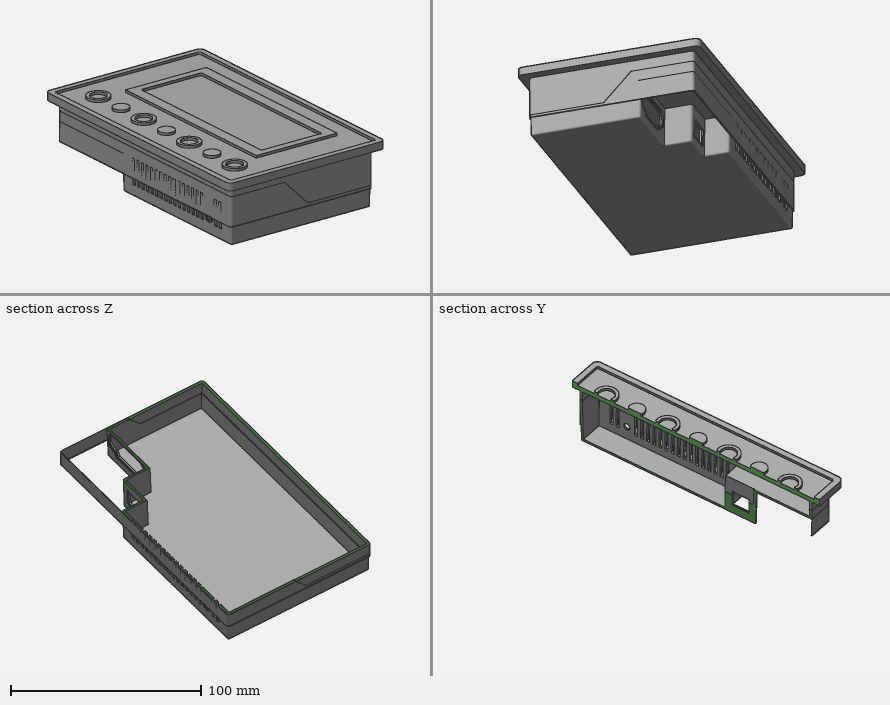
import cadquery as cq
import math

bezel_length = 162.0
bezel_width = 102.0
total_height = 38.0

bezel_thickness = 4.5
bezel_corner_radius = 3.2
bezel_bottom = total_height - bezel_thickness

border = 3.5
panel_depth = 1.5
panel_corner_radius = 1.1
panel_level = total_height - panel_depth

skirt_length = 152.0
skirt_width = 92.7
skirt_bottom = 10.5
skirt_wall = 2.0
skirt_corner_radius = 1.8

frame_length = 115.0
frame_width = 52.8
frame_center_y = 10.5
window_length = 106.1
window_width = 39.5
window_corner_radius = 1.3

button_count = 7
button_row_length = 120.0
button_row_y = -31.9
button_diameter = 9.4
ring_diameter = 13.3

skirt_tip_x = 0.2
skirt_tip_y = 0.3
cover_draft = 1.4
cover_wall = 1.6
cover_corner_radius = 1.3
cover_inner_radius = 0.5
cover_bottom_radius = 1.0

rim_high = 27.7
rim_low = 12.2
rim_slope_start_y = 4.5

draft_slope = math.tan(math.radians(cover_draft))
cover_length = skirt_length - 2 * skirt_tip_x
cover_width = skirt_width - 2 * skirt_tip_y

notch_ceiling = 21.7
notch_corner_radius = 1.5
serial_wall_y = -16.0
usb_wall_y = -31.5
step_x = -39.2
notch_end_x = -20.2

recess_depth = 0.5
through_depth = 3 * cover_wall
serial_x = -57.7
serial_z = 13.0
serial_length = 33.4
serial_height = 11.3
serial_inset = 1.0
tongue_bottom_z = 4.9
tongue_bottom_width = 17.5
tongue_top_width = 20.7
tongue_top_z = 7.5

usb_left = -34.7
usb_right = -23.8
usb_bottom = 5.5
usb_top = 14.5
usb_recess_left = -35.3
usb_recess_right = -22.7
usb_recess_bottom = 5.0

vent_count = 20
vent_pitch = 4.0
vent_width = 2.0
vent_bottom = 6.6
first_vent_x = -10.4
vents_left_out = (16, 17)
screw_z = 9.7
screw_hole_diameter = 3.9
screw_recess_diameter = 5.8


def box_between(x_range, y_range, z_range):
    """Axis-aligned box between the given limits."""
    return cq.Workplane("XY").box(
        x_range[1] - x_range[0],
        y_range[1] - y_range[0],
        z_range[1] - z_range[0],
        centered=False,
    ).translate((x_range[0], y_range[0], z_range[0]))


def rounded_block(length, width, bottom, top, radius, center_y=0.0):
    """Upright block with rounded vertical edges."""
    block = cq.Workplane("XY", origin=(0, center_y, bottom)).rect(length, width).extrude(top - bottom)
    return block.edges("|Z").fillet(radius)


def drafted_blank(inset, corner_radius):
    """Full-height block of the cover, moved inward by inset and narrowing downward with the draft."""
    rim_outline = (
        cq.Sketch()
        .rect(cover_length - 2 * inset, cover_width - 2 * inset)
        .vertices()
        .fillet(corner_radius)
    )
    return (
        cq.Workplane("XY", origin=(0, 0, rim_high))
        .placeSketch(rim_outline)
        .extrude(-rim_high, taper=cover_draft)
    )


def above_rim():
    """Space above the stepped rim: low at the rear, a 45 degree slope, high at the front."""
    slope_end_y = rim_slope_start_y - (rim_high - rim_low)
    return (
        cq.Workplane("YZ")
        .moveTo(bezel_width, rim_low)
        .lineTo(rim_slope_start_y, rim_low)
        .lineTo(slope_end_y, rim_high)
        .lineTo(slope_end_y, total_height)
        .lineTo(bezel_width, total_height)
        .close()
        .extrude(bezel_length / 2, both=True)
    )


def notch_void(growth, step_radius):
    """Stepped corner notch, narrowing upward with the draft and enlarged by growth."""
    outside_x = -bezel_length
    outside_y = -bezel_width
    end_x = notch_end_x + growth
    shallow_y = usb_wall_y + growth
    deep_x = step_x + growth
    deep_y = serial_wall_y + growth
    return (
        cq.Workplane("XY")
        .moveTo(outside_x, outside_y)
        .lineTo(end_x, outside_y)
        .lineTo(end_x, shallow_y)
        .lineTo(deep_x + step_radius, shallow_y)
        .radiusArc((deep_x, shallow_y + step_radius), step_radius)
        .lineTo(deep_x, deep_y)
        .lineTo(outside_x, deep_y)
        .close()
        .extrude(notch_ceiling + growth, taper=cover_draft)
    )


def cover_outside():
    """Outer form of the cover with its notch, before it is hollowed."""
    body = drafted_blank(0, cover_corner_radius).cut(notch_void(0, notch_corner_radius))
    mid_z = notch_ceiling / 2
    notch_ends = [
        (-cover_length / 2, serial_wall_y),
        (notch_end_x, -cover_width / 2),
    ]
    for x, y in notch_ends:
        corner_edge = body.edges(cq.selectors.NearestToPointSelector((x, y, mid_z)))
        body = corner_edge.fillet(notch_corner_radius)
    return body.faces("<Z").edges().fillet(cover_bottom_radius)


def cover_inside():
    """Hollow of the cover, one wall thickness inside the outer form."""
    below_floor = box_between(
        (-bezel_length, bezel_length), (-bezel_width, bezel_width), (0, cover_wall)
    )
    blank = drafted_blank(cover_wall, cover_inner_radius)
    notch = notch_void(cover_wall, cover_inner_radius)
    return blank.cut(notch).cut(below_floor)


def serial_outline(inset, front_y, depth):
    """Prism of a long round-ended opening with a tapered tongue below it."""
    plane = cq.Workplane("XZ", origin=(serial_x, front_y, 0))
    slot = plane.center(0, serial_z).slot2D(serial_length - 2 * inset, serial_height - 2 * inset).extrude(-depth)
    tongue = (
        plane.moveTo(-tongue_bottom_width / 2 + inset, tongue_bottom_z + inset)
        .lineTo(tongue_bottom_width / 2 - inset, tongue_bottom_z + inset)
        .lineTo(tongue_top_width / 2 - inset, tongue_top_z + inset)
        .lineTo(tongue_top_width / 2 - inset, serial_z)
        .lineTo(-tongue_top_width / 2 + inset, serial_z)
        .lineTo(-tongue_top_width / 2 + inset, tongue_top_z + inset)
        .close()
        .extrude(-depth)
    )
    return slot.union(tongue)


def serial_opening():
    """Recess and opening for the serial connector, cut from outside the deep notch wall."""
    wall_face_y = serial_wall_y - draft_slope * tongue_bottom_z
    start_y = wall_face_y - cover_wall
    recess = serial_outline(0, start_y, cover_wall + recess_depth)
    opening = serial_outline(serial_inset, start_y, through_depth)
    return recess.union(opening)


def usb_opening():
    """Recess and opening for the USB connector, cut from outside the shallow notch wall."""
    wall_face_y = usb_wall_y - draft_slope * usb_bottom
    start_y = wall_face_y - cover_wall
    recess = box_between(
        (usb_recess_left, usb_recess_right),
        (start_y, wall_face_y + recess_depth),
        (usb_recess_bottom, usb_top),
    )
    opening = box_between(
        (usb_left, usb_right), (start_y, start_y + through_depth), (usb_bottom, usb_top)
    )
    return recess.union(opening)


def vent_slots():
    """Row of slots through the front wall, hidden above by the housing skirt."""
    front_y = -skirt_width / 2
    slots = cq.Workplane("XY")
    for index in range(vent_count):
        if index in vents_left_out:
            continue
        x = first_vent_x + index * vent_pitch
        slots = slots.union(
            box_between(
                (x - vent_width / 2, x + vent_width / 2),
                (front_y, front_y + through_depth),
                (vent_bottom, notch_ceiling),
            )
        )
    return slots


def screw_hole():
    """Recessed hole midway between the two vents left out."""
    x = first_vent_x + vent_pitch * sum(vents_left_out) / len(vents_left_out)
    wall_face_y = -cover_width / 2 + draft_slope * (rim_high - screw_z)
    plane = cq.Workplane("XZ", origin=(x, wall_face_y - cover_wall, screw_z))
    recess = plane.circle(screw_recess_diameter / 2).extrude(-(cover_wall + recess_depth))
    hole = plane.circle(screw_hole_diameter / 2).extrude(-through_depth)
    return recess.union(hole)


def make_rear_cover():
    return (
        cover_outside()
        .cut(cover_inside())
        .cut(above_rim())
        .cut(serial_opening())
        .cut(usb_opening())
        .cut(vent_slots())
        .cut(screw_hole())
    )


def bezel_plate():
    """Bezel with a raised border around a sunken panel."""
    plate = rounded_block(bezel_length, bezel_width, bezel_bottom, total_height, bezel_corner_radius)
    panel = rounded_block(
        bezel_length - 2 * border,
        bezel_width - 2 * border,
        panel_level,
        total_height,
        panel_corner_radius,
    )
    return plate.cut(panel)


def screen_frame():
    """Raised frame around the screen window."""
    frame = (
        cq.Workplane("XY", origin=(0, frame_center_y, panel_level))
        .rect(frame_length, frame_width)
        .extrude(panel_depth)
    )
    window = rounded_block(
        window_length, window_width, panel_level, total_height, window_corner_radius, frame_center_y
    )
    return frame.cut(window)


def add_buttons(housing):
    """Row of raised rings with plain round buttons between them."""
    pitch = button_row_length / (button_count - 1)
    for index in range(button_count):
        x = -button_row_length / 2 + index * pitch
        button = cq.Workplane("XY", origin=(x, button_row_y, panel_level)).circle(button_diameter / 2)
        is_ring = index % 2 == 0
        if is_ring:
            button = button.circle(ring_diameter / 2)
        housing = housing.union(button.extrude(panel_depth))
    return housing


def skirt():
    """Wall below the bezel, opened on the inside to take the cover."""
    block = rounded_block(skirt_length, skirt_width, skirt_bottom, bezel_bottom, skirt_corner_radius)
    hollow = (
        cq.Workplane("XY", origin=(0, 0, skirt_bottom))
        .rect(skirt_length - 2 * skirt_wall, skirt_width - 2 * skirt_wall)
        .extrude(bezel_bottom - skirt_bottom)
    )
    cover_seat = drafted_blank(0, cover_corner_radius).cut(above_rim())
    return block.cut(hollow).cut(cover_seat)


def make_front_housing():
    housing = bezel_plate().union(skirt()).union(screen_frame())
    return add_buttons(housing)


front_housing = make_front_housing()
rear_cover = make_rear_cover()

result = cq.Compound.makeCompound([front_housing.solids().val(), rear_cover.solids().val()])